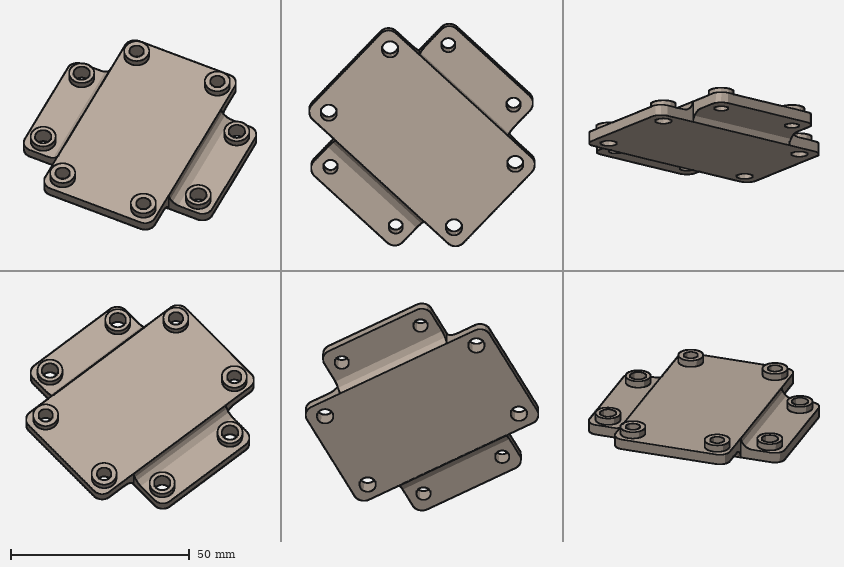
import cadquery as cq
import math

plate_length = 58.0
plate_width = 34.0
plate_thickness = 3.0
corner_radius = 3.0

boss_diameter = 7.0
boss_height = 2.0
hole_pitch_along = 48.0
hole_pitch_across = 25.0
lower_hole_diameter = 4.6
upper_hole_diameter = 4.0

blend_radius = 3.4


def lower_plate():
    """Plate lying along X with its underside at Z = 0."""
    return (
        cq.Workplane("XY")
        .rect(plate_length, plate_width)
        .extrude(plate_thickness)
        .edges("|Z")
        .fillet(corner_radius)
    )


def blends():
    """Concave strips joining the lower plate's top to the upper plate's long sides."""
    wall = plate_width / 2
    center_x = wall + blend_radius
    center_z = plate_thickness + blend_radius
    top_z = 2 * plate_thickness
    end_angle = math.asin((center_z - top_z) / blend_radius)
    mid_angle = (end_angle + math.pi / 2) / 2
    arc_end = (center_x - blend_radius * math.cos(end_angle), top_z)
    arc_middle = (
        center_x - blend_radius * math.cos(mid_angle),
        center_z - blend_radius * math.sin(mid_angle),
    )
    strip = (
        cq.Workplane("XZ")
        .moveTo(wall, plate_thickness)
        .lineTo(center_x, plate_thickness)
        .threePointArc(arc_middle, arc_end)
        .lineTo(wall, top_z)
        .close()
        .extrude(plate_width / 2, both=True)
    )
    return strip.union(strip.mirror("YZ"))


def at_hole_positions(base_z):
    """Workplane with the four hole centres of a plate lying along X."""
    return (
        cq.Workplane("XY", origin=(0, 0, base_z))
        .rect(hole_pitch_along, hole_pitch_across, forConstruction=True)
        .vertices()
    )


def bosses():
    """Four bosses on top of the lower plate."""
    return at_hole_positions(plate_thickness).circle(boss_diameter / 2).extrude(boss_height)


def holes(diameter):
    """Four cutters reaching through a plate and its bosses from Z = 0."""
    return at_hole_positions(0).circle(diameter / 2).extrude(plate_thickness + boss_height)


def to_upper(shape):
    """Turn a shape a quarter turn about Z and raise it to the upper plate's level."""
    return shape.rotate((0, 0, 0), (0, 0, 1), 90).translate((0, 0, plate_thickness))


def flip_blends():
    """Blends under the upper plate: the upper ones turned over and crosswise."""
    return (
        blends()
        .mirror("XY")
        .translate((0, 0, 2 * plate_thickness))
        .rotate((0, 0, 0), (0, 0, 1), 90)
    )


result = (
    lower_plate()
    .union(to_upper(lower_plate()))
    .union(blends())
    .union(flip_blends())
    .union(bosses())
    .union(to_upper(bosses()))
    .cut(holes(lower_hole_diameter))
    .cut(to_upper(holes(upper_hole_diameter)))
)